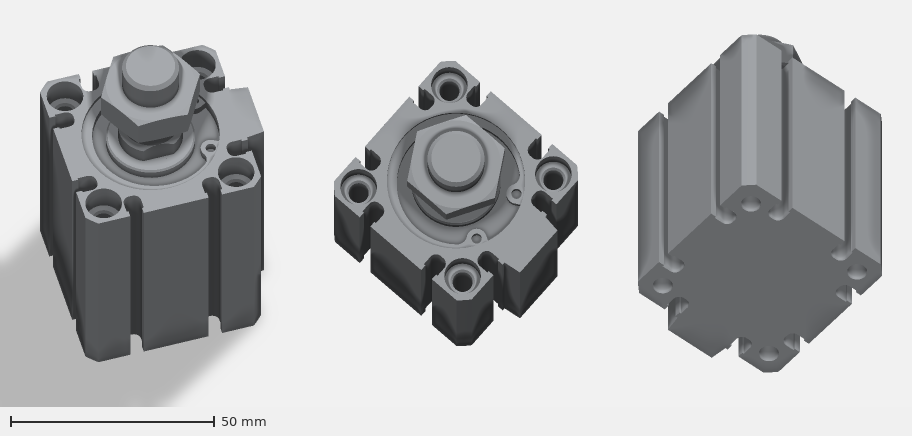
import cadquery as cq
import math

BODY_WIDTH = 45.0
BODY_HEIGHT = 57.95
CORNER_RADIUS = 30.0
RIB_HEIGHT = 4.5
RIB_TIP_WIDTH = 14.0
RIB_BASE_WIDTH = 15.2

SLOT_OFFSET = 10.0
SLOT_MOUTH_WIDTH = 3.5
SLOT_MOUTH_DEPTH = 1.6
SLOT_WIDTH = 4.4
SLOT_DEPTH = 5.8
SLOT_FLOOR_RADIUS = 1.8

BOLT_OFFSET = 16.95
BOLT_DIAMETER = 4.9
BOLT_COUNTERSINK_DIAMETER = 6.05
COUNTERBORE_DIAMETER = 9.0
COUNTERBORE_DEPTH = 7.0

RECESS_DIAMETER = 34.0
RECESS_DEPTH = 3.1
COLLAR_DIAMETER = 22.0
COLLAR_DROP = 0.5
COLLAR_CHAMFER = 0.4
RING_DROP = 1.0
RING_INNER_DIAMETER = 30.45
RING_ECCENTRICITY = 0.9
EAR_X = 7.4
EAR_Y = 13.2
EAR_DIAMETER = 4.9
EAR_HOLE_DIAMETER = 2.5
EAR_ROOT_RADIUS = 2.5

ROD_TOP = 86.5
ROD_DIAMETER = 16.0
THREAD_DIAMETER = 14.0
ROD_TIP_CHAMFER = 0.95
SHOULDER_TOP = 62.9
SHOULDER_CONE_HEIGHT = 1.4
FLAT_WIDTH = 14.0
ROD_ENGAGEMENT = ROD_DIAMETER

NUT_ACROSS_FLATS = 22.0
NUT_THICKNESS = 8.0
NUT_TOP = 78.7
NUT_CHAMFER_HEIGHT = 0.5

COLLAR_TOP = BODY_HEIGHT - COLLAR_DROP
RECESS_FLOOR = BODY_HEIGHT - RECESS_DEPTH
RING_TOP = BODY_HEIGHT - RING_DROP
ROD_BOTTOM = COLLAR_TOP - ROD_ENGAGEMENT


def cylinder(diameter, bottom, top):
    """Cylinder on the Z axis between two heights."""
    return cq.Workplane("XY", origin=(0, 0, bottom)).circle(diameter / 2).extrude(top - bottom)


def make_block():
    """Square block with its corners turned round, and a tapered rib on the +Y side."""
    side = BODY_WIDTH / 2
    block = cq.Workplane("XY").rect(BODY_WIDTH, BODY_WIDTH).extrude(BODY_HEIGHT)
    block = block.intersect(cylinder(2 * CORNER_RADIUS, 0, BODY_HEIGHT))
    rib = (
        cq.Workplane("XY")
        .moveTo(-RIB_BASE_WIDTH / 2, side)
        .lineTo(-RIB_TIP_WIDTH / 2, side + RIB_HEIGHT)
        .lineTo(RIB_TIP_WIDTH / 2, side + RIB_HEIGHT)
        .lineTo(RIB_BASE_WIDTH / 2, side)
        .close()
        .extrude(BODY_HEIGHT)
    )
    return block.union(rib)


def make_slot():
    """Cutter for one T-shaped slot with a rounded floor, on the -Y side at X = 0."""
    side = -BODY_WIDTH / 2
    mouth = (
        cq.Workplane("XY", origin=(0, side + SLOT_MOUTH_DEPTH / 2, 0))
        .rect(SLOT_MOUTH_WIDTH, SLOT_MOUTH_DEPTH)
        .extrude(BODY_HEIGHT)
    )
    inner_depth = SLOT_DEPTH - SLOT_MOUTH_DEPTH
    inner = (
        cq.Workplane("XY", origin=(0, side + SLOT_MOUTH_DEPTH + inner_depth / 2, 0))
        .rect(SLOT_WIDTH, inner_depth)
        .extrude(BODY_HEIGHT)
        .edges("|Z and >Y")
        .fillet(SLOT_FLOOR_RADIUS)
    )
    return mouth.union(inner)


def cut_side_slots(housing):
    """Two slots on each of the four sides."""
    slot = make_slot()
    for turn in range(4):
        for offset in (-SLOT_OFFSET, SLOT_OFFSET):
            cutter = slot.translate((offset, 0, 0)).rotate((0, 0, 0), (0, 0, 1), 90 * turn)
            housing = housing.cut(cutter)
    return housing


def cut_bolt_holes(housing):
    """Through hole with a countersink under a counterbore, at each corner."""
    seat = BODY_HEIGHT - COUNTERBORE_DEPTH
    countersink_depth = (BOLT_COUNTERSINK_DIAMETER - BOLT_DIAMETER) / 2
    profile = [
        (0, 0),
        (BOLT_DIAMETER / 2, 0),
        (BOLT_DIAMETER / 2, seat - countersink_depth),
        (BOLT_COUNTERSINK_DIAMETER / 2, seat),
        (COUNTERBORE_DIAMETER / 2, seat),
        (COUNTERBORE_DIAMETER / 2, BODY_HEIGHT),
        (0, BODY_HEIGHT),
    ]
    cutter = cq.Workplane("XZ").polyline(profile).close().revolve(360, (0, 0), (0, 1))
    for x in (-BOLT_OFFSET, BOLT_OFFSET):
        for y in (-BOLT_OFFSET, BOLT_OFFSET):
            housing = housing.cut(cutter.translate((x, y, 0)))
    return housing


def make_ear(side):
    """Ring ear on the -X (side = -1) or +X (side = 1) side, running outward to the recess wall."""
    center_distance = math.hypot(EAR_X, EAR_Y)
    angle = math.degrees(math.atan2(EAR_Y, side * EAR_X))
    height = RING_TOP - RECESS_FLOOR
    floor = cq.Workplane("XY", origin=(0, 0, RECESS_FLOOR))
    tip = floor.center(center_distance, 0).circle(EAR_DIAMETER / 2).extrude(height)
    root = (
        floor.center(center_distance + EAR_DIAMETER / 2, 0)
        .rect(EAR_DIAMETER, EAR_DIAMETER)
        .extrude(height)
    )
    return tip.union(root).rotate((0, 0, 0), (0, 0, 1), angle)


def make_retaining_ring():
    """Open ring, thickest opposite its opening, with a drilled ear at each end."""
    ring = cylinder(RECESS_DIAMETER, RECESS_FLOOR, RING_TOP)
    inner = cylinder(RING_INNER_DIAMETER, RECESS_FLOOR, RING_TOP)
    ring = ring.cut(inner.translate((0, RING_ECCENTRICITY, 0)))
    reach = RECESS_DIAMETER / EAR_Y
    opening = (
        cq.Workplane("XY", origin=(0, 0, RECESS_FLOOR))
        .polyline([(0, 0), (-EAR_X * reach, EAR_Y * reach), (EAR_X * reach, EAR_Y * reach)])
        .close()
        .extrude(RING_TOP - RECESS_FLOOR)
    )
    ring = ring.cut(opening)
    ears = make_ear(-1).union(make_ear(1))
    ring = ring.union(ears.intersect(cylinder(RECESS_DIAMETER, RECESS_FLOOR, RING_TOP)))
    root_zone = cq.selectors.BoxSelector(
        (-RECESS_DIAMETER, 0, RECESS_FLOOR), (RECESS_DIAMETER, EAR_Y, RING_TOP)
    )
    ring = ring.edges("|Z").edges(root_zone).fillet(EAR_ROOT_RADIUS)
    holes = (
        cq.Workplane("XY", origin=(0, 0, RECESS_FLOOR))
        .pushPoints([(-EAR_X, EAR_Y), (EAR_X, EAR_Y)])
        .circle(EAR_HOLE_DIAMETER / 2)
        .extrude(RING_TOP - RECESS_FLOOR)
    )
    return ring.cut(holes)


def make_housing(rod):
    """Cylinder housing with the collar, the retaining ring and a hole that fits the rod."""
    housing = cut_bolt_holes(cut_side_slots(make_block()))
    housing = housing.cut(cylinder(RECESS_DIAMETER, RECESS_FLOOR, BODY_HEIGHT))
    collar = cylinder(COLLAR_DIAMETER, RECESS_FLOOR, COLLAR_TOP).faces(">Z").chamfer(COLLAR_CHAMFER)
    return housing.union(collar).union(make_retaining_ring()).cut(rod)


def make_rod():
    """Stepped rod with a chamfered tip, a conical shoulder and two wrench flats."""
    rod_radius = ROD_DIAMETER / 2
    thread_radius = THREAD_DIAMETER / 2
    profile = [
        (0, ROD_BOTTOM),
        (rod_radius, ROD_BOTTOM),
        (rod_radius, SHOULDER_TOP - SHOULDER_CONE_HEIGHT),
        (thread_radius, SHOULDER_TOP),
        (thread_radius, ROD_TOP - ROD_TIP_CHAMFER),
        (thread_radius - ROD_TIP_CHAMFER, ROD_TOP),
        (0, ROD_TOP),
    ]
    rod = cq.Workplane("XZ").polyline(profile).close().revolve(360, (0, 0), (0, 1))
    flat_height = SHOULDER_TOP - COLLAR_TOP
    for side in (-1, 1):
        flat = (
            cq.Workplane("XY", origin=(side * (FLAT_WIDTH + ROD_DIAMETER) / 2, 0, COLLAR_TOP))
            .rect(ROD_DIAMETER, ROD_DIAMETER)
            .extrude(flat_height)
        )
        rod = rod.cut(flat)
    return rod


def make_nut():
    """Hexagon nut with corners on the Y axis, chamfered at both ends."""
    bottom = NUT_TOP - NUT_THICKNESS
    flat_radius = NUT_ACROSS_FLATS / 2
    corner_radius = flat_radius / math.cos(math.pi / 6)
    hexagon = (
        cq.Workplane("XY", origin=(0, 0, bottom))
        .polygon(6, 2 * corner_radius)
        .extrude(NUT_THICKNESS)
        .rotate((0, 0, 0), (0, 0, 1), 90)
    )
    envelope = (
        cq.Workplane("XZ")
        .polyline([
            (0, bottom),
            (flat_radius, bottom),
            (corner_radius, bottom + NUT_CHAMFER_HEIGHT),
            (corner_radius, NUT_TOP - NUT_CHAMFER_HEIGHT),
            (flat_radius, NUT_TOP),
            (0, NUT_TOP),
        ])
        .close()
        .revolve(360, (0, 0), (0, 1))
    )
    return hexagon.intersect(envelope).cut(cylinder(THREAD_DIAMETER, bottom, NUT_TOP))


rod = make_rod()
nut = make_nut()
housing = make_housing(rod)

result = cq.Compound.makeCompound([housing.val(), rod.val(), nut.val()])